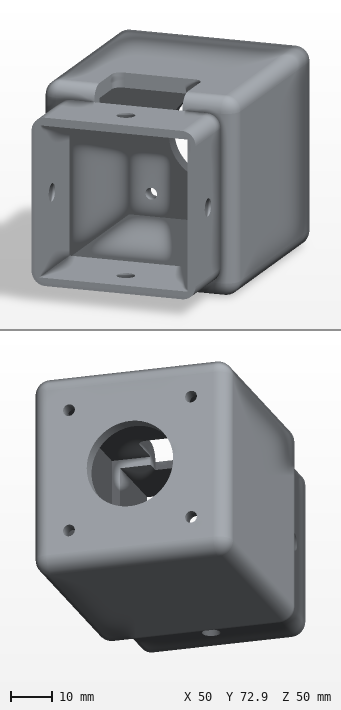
import cadquery as cq

box_width = 50.0
total_length = 72.9
box_length = 55.4
box_edge_radius = 3.7
neck_width = 42.3
neck_corner_radius = 3.5
neck_bore_width = 38.2
wall = 3.8

shaft_hole_diameter = 22.0
screw_hole_diameter = 3.0
screw_spacing = 31.05
neck_hole_diameter = 4.5
neck_hole_setback = 8.75

opening_width = 22.75
opening_length = 14.7
opening_corner_radius = 2.25

neck_front = -total_length / 2
box_back = total_length / 2
box_front = box_back - box_length
cavity_width = box_width - 2 * wall
cavity_front = box_front + wall
cavity_length = box_length - 2 * wall
neck_bore_length = cavity_front - neck_front
bore_depth_below_top = (box_width - neck_bore_width) / 2
neck_hole_y = neck_front + neck_hole_setback


def square_bar(width, start_y, length):
    """Square bar along +Y, starting at start_y."""
    return (
        cq.Workplane("XY")
        .box(width, length, width)
        .translate((0, start_y + length / 2, 0))
    )


def outer_body():
    """Rounded box with a narrower neck reaching into its front wall."""
    box = square_bar(box_width, box_front, box_length).edges().fillet(box_edge_radius)
    neck = square_bar(neck_width, neck_front, neck_bore_length)
    neck = neck.edges("|Y").fillet(neck_corner_radius)
    return box.union(neck)


def back_wall_holes():
    """Central shaft hole with four screw holes around it."""
    wall_plane = cq.Workplane("XZ", origin=(0, box_back, 0))
    shaft_hole = wall_plane.circle(shaft_hole_diameter / 2).extrude(wall)
    screw_holes = (
        wall_plane.rect(screw_spacing, screw_spacing, forConstruction=True)
        .vertices()
        .circle(screw_hole_diameter / 2)
        .extrude(wall)
    )
    return shaft_hole.union(screw_holes)


def neck_cross_hole(plane):
    """Hole crossing both opposite neck walls, normal to the given plane."""
    return (
        cq.Workplane(plane, origin=(0, neck_hole_y, 0))
        .circle(neck_hole_diameter / 2)
        .extrude(neck_width / 2, both=True)
    )


def top_opening():
    """Opening from the box top down to the neck bore, rounded at the back and open at the front."""
    opening_y = box_front + opening_length / 2
    opening_z = (box_width - bore_depth_below_top) / 2
    return (
        cq.Workplane("XY")
        .box(opening_width, opening_length, bore_depth_below_top)
        .edges("|Z and >Y")
        .fillet(opening_corner_radius)
        .translate((0, opening_y, opening_z))
    )


result = outer_body()
result = result.cut(square_bar(cavity_width, cavity_front, cavity_length))
result = result.cut(square_bar(neck_bore_width, neck_front, neck_bore_length))
result = result.cut(back_wall_holes())
for hole_plane in ("XY", "YZ"):
    result = result.cut(neck_cross_hole(hole_plane))
result = result.cut(top_opening())